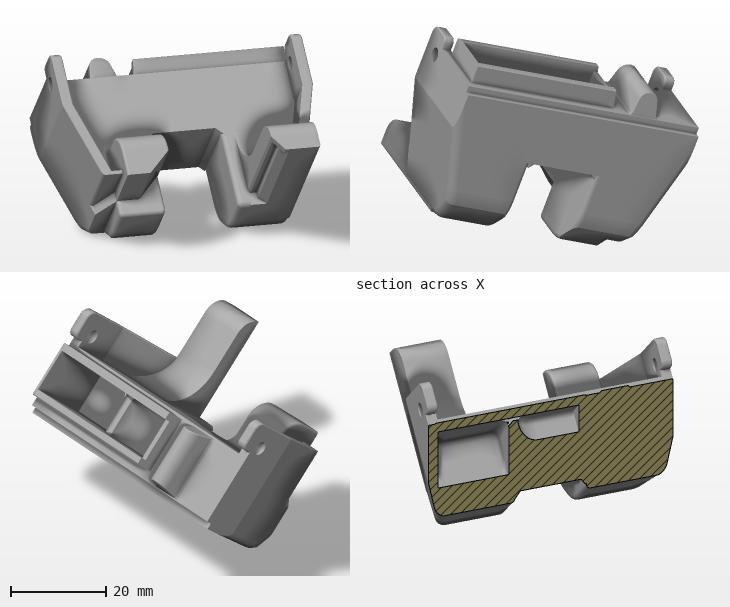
import cadquery as cq
import math

TILT_ANGLE = -45
NEAR = 0.05

WIDTH = 55
HEIGHT = 33.3
FLOOR_X = 16.95
WALL_X = 25.1
WALL_EDGE_BEVEL = 0.2
WALL_THICKNESS = 2.3
TAPER_START_Z = 23.25
TAPER_SLOPE = 0.297
RIGHT_FOOT_Z = 3.7
HEEL_RADIUS = 9.6
HEEL_FLAT = 6.9
BACK_EDGE_RADIUS = 1.8
FOOT_EDGE_RADIUS = 0.8
FOOT_FRONT_RADIUS = 0.7

LEDGE_DEPTH = 1.3
LEDGE_Z = 31.8

TAB_X = 18.25
TAB_TOP_Z = 35.95
TAB_BACK_RADIUS = 1.4
TAB_FRONT_RADIUS = 2.0
PIN_X = 20.2
PIN_Z = 30.95
PIN_RADIUS = 1.55

SLOT_HALF_WIDTH = 7.9
SLOT_TOP_Z = 18.9
SLOT_CORNER = 1.1
SLOT_EDGE_RADIUS = 1.0

LONG_ARM_Y = (10.6, 20.85)
LONG_ARM_TIP_X = 40.55
LONG_ARM_THICKNESS = 7.6
LONG_ARM_ROOT_RADIUS = 10.0
LONG_ARM_TIP_RADIUS = 4.1
LONG_ARM_EDGE_RADIUS = 0.55
BEVEL_LINE_Y = 13.15
LONG_BEVEL_HEIGHT = 3.4
GROOVE_END_X = 39.1
GROOVE_TOP_Z = 2.85
GROOVE_KNEE_Z = 1.5
GROOVE_WALL_Y = 12.4
GROOVE_SOLE_Y = 14.0

SHORT_ARM_Y = (-18.1, -SLOT_HALF_WIDTH)
SHORT_ARM_TIP_X = 28.3
SHORT_ARM_TOP_Z = 14.6
SHORT_ARM_ROOT_RADIUS = 2.9
SHORT_ARM_TIP_RADIUS = 4.95
SHORT_ARM_EDGE_RADIUS = 0.55
SHORT_ARM_BASE_RADIUS = 0.8

CHANNEL_TOP_Z = 5.85
CHANNEL_RAMP_X = 11.65
CHANNEL_ROOF_RADIUS = 0.65
WEB_TOP_Z = 6.65

BOX_X = (3.5, 16.3)
BOX_Y = (-7.1, 25.9)
BOX_TOP_Z = 37.35
BOX_RIM_BEVEL = 0.2
BOX_END_LEAN = 0.8
CAVITY_X = (5.05, 14.65)
CAVITY_Y = (-6.3, 25.3)
CAVITY_Z = 31.3
NOTCH_Z = 36.0
CAVITY_EDGE_RADIUS = 1.1

DEEP_WELL_Z = 21.05
DEEP_WELL_END_Y = 9.45
DIVIDER_CORNER_RADIUS = 1.65
DIVIDER_Y = (7.35, 8.45)
DIVIDER_BEVEL_HEIGHT = 0.75
SHALLOW_WELL_Z = 27.2
SHALLOW_WELL_SWEEP = 4.7

RIB_Y = -14.4
RIB_TOP_Z = 38.8
RIB_CROWN_RADIUS = 2.3
RIB_DRAFT = math.radians(12)
RIB_TOP_X = (2.6, 15.5)
RIB_END_LEAN = 1.0
RIB_FOOT = 0.35
RIB_END_RADIUS = 0.3


def extrude_along_y(sketch, y_start, y_end):
    """Extrude an x-z outline drawn on the XZ plane between two y positions."""
    return sketch.extrude(y_start - y_end).translate((0, y_start, 0))


def block(x_range, y_range, z_range):
    size = [end - start for start, end in (x_range, y_range, z_range)]
    return cq.Workplane("XY").box(*size, centered=False).translate((x_range[0], y_range[0], z_range[0]))


def round_edges_at(shape, point, reach, radius):
    """Round the edges whose midpoints lie within a reach of a point along each axis."""
    low = tuple(place - span for place, span in zip(point, reach))
    high = tuple(place + span for place, span in zip(point, reach))
    return shape.edges(cq.selectors.BoxSelector(low, high)).fillet(radius)


def side_half_width(z):
    """Half of the body width at a height in the tapered zone."""
    return WIDTH / 2 - TAPER_SLOPE * (TAPER_START_Z - z)


def side_outline():
    """Side outline of the body: a rounded heel whose lowest point is trimmed flat."""
    centre_to_flat = (2 * HEEL_RADIUS - HEEL_FLAT) / math.sqrt(2)
    half_flat = math.sqrt(HEEL_RADIUS**2 - centre_to_flat**2)
    flat_near = (HEEL_FLAT - half_flat * math.sqrt(2)) / 2
    flat_far = HEEL_FLAT - flat_near
    return (
        cq.Workplane("XZ")
        .moveTo(HEEL_RADIUS, 0)
        .lineTo(WALL_X, 0)
        .lineTo(WALL_X, HEIGHT)
        .lineTo(LEDGE_DEPTH, HEIGHT)
        .lineTo(LEDGE_DEPTH, LEDGE_Z)
        .lineTo(0, LEDGE_Z)
        .lineTo(0, HEEL_RADIUS)
        .radiusArc((flat_near, flat_far), -HEEL_RADIUS)
        .lineTo(flat_far, flat_near)
        .radiusArc((HEEL_RADIUS, 0), -HEEL_RADIUS)
        .close()
    )


def make_outer_body():
    low_half = side_half_width(0)
    high_half = side_half_width(HEIGHT)
    wedge = (
        cq.Workplane("YZ")
        .polyline([(low_half, 0), (high_half, HEIGHT), (-high_half, HEIGHT), (-low_half, 0)])
        .close()
        .extrude(WALL_X)
    )
    leaning = extrude_along_y(side_outline(), -high_half, high_half).intersect(wedge)
    back_zone = cq.selectors.BoxSelector((-0.55, -WIDTH, -0.55), (WALL_X - 0.55, WIDTH, LEDGE_Z - 0.55))
    back_edges = leaning.faces("<Y or >Y").edges(back_zone)
    leaning = back_edges.fillet(BACK_EDGE_RADIUS)
    square_sides = block((0, WALL_X), (-WIDTH / 2, WIDTH / 2), (0, HEIGHT))
    leaning = leaning.intersect(square_sides)

    foot_zone = block((0, WALL_X), (-WIDTH / 2, -SLOT_HALF_WIDTH), (0, RIGHT_FOOT_Z))
    foot_block = extrude_along_y(side_outline(), SHORT_ARM_Y[0], -SLOT_HALF_WIDTH)
    foot_block = foot_block.faces("<Y").edges(back_zone).fillet(FOOT_EDGE_RADIUS)
    return leaning.cut(foot_zone).union(foot_block.intersect(foot_zone))


def make_wall_gap():
    """Open space between the side walls, in front of the floor."""
    inner_half = WIDTH / 2 - WALL_THICKNESS
    inner_low = side_half_width(0) - WALL_THICKNESS
    return (
        cq.Workplane("YZ", origin=(FLOOR_X, 0, 0))
        .polyline([
            (inner_low, 0),
            (inner_half, TAPER_START_Z),
            (inner_half, HEIGHT),
            (-inner_half, HEIGHT),
            (-inner_half, TAPER_START_Z),
            (-inner_low, 0),
        ])
        .close()
        .extrude(WALL_X)
    )


def make_tab(y_start):
    tab = block((TAB_X, WALL_X), (y_start, y_start + WALL_THICKNESS), (TAPER_START_Z, TAB_TOP_Z))
    tab = tab.edges("|Y and >Z and <X").fillet(TAB_BACK_RADIUS)
    return tab.edges("|Y and >Z and >X").fillet(TAB_FRONT_RADIUS)


def make_slot():
    slot = block((-0.55, WALL_X + 0.55), (-SLOT_HALF_WIDTH, SLOT_HALF_WIDTH), (-0.55, SLOT_TOP_Z))
    return slot.edges("|X and >Z").chamfer(SLOT_CORNER)


def make_slot_rounding():
    """Sliver to cut off the +Y side of the slot so that it meets the back and heel in a rounded edge."""
    zone = block((0, FLOOR_X), (SLOT_HALF_WIDTH, SLOT_HALF_WIDTH + 2 * SLOT_EDGE_RADIUS), (0, SLOT_TOP_Z))
    cheek = zone.edges("|Y and <X and <Z").fillet(HEEL_RADIUS)
    back_and_sole = cq.selectors.BoxSelector((-0.55, 0, -0.55), (FLOOR_X - 0.55, WIDTH, SLOT_TOP_Z - 0.55))
    cheek = cheek.faces("<Y").edges(back_and_sole).fillet(SLOT_EDGE_RADIUS)
    return zone.cut(cheek)


def long_arm_outline():
    top = LONG_ARM_THICKNESS
    return (
        cq.Workplane("XZ")
        .moveTo(HEEL_RADIUS, 0)
        .lineTo(LONG_ARM_TIP_X, 0)
        .lineTo(LONG_ARM_TIP_X, top - LONG_ARM_TIP_RADIUS)
        .radiusArc((LONG_ARM_TIP_X - LONG_ARM_TIP_RADIUS, top), -LONG_ARM_TIP_RADIUS)
        .lineTo(FLOOR_X + LONG_ARM_ROOT_RADIUS, top)
        .radiusArc((FLOOR_X, top + LONG_ARM_ROOT_RADIUS), LONG_ARM_ROOT_RADIUS)
        .lineTo(HEEL_RADIUS, top + LONG_ARM_ROOT_RADIUS)
        .close()
    )


def make_long_arm(outer_body):
    inner_y, outer_y = LONG_ARM_Y
    arm = extrude_along_y(long_arm_outline(), inner_y, outer_y)
    arm = arm.edges("|X and >Y and <Z").fillet(LONG_ARM_EDGE_RADIUS)
    bevel = (
        cq.Workplane("YZ", origin=(FLOOR_X, 0, 0))
        .polyline([(inner_y, 0), (BEVEL_LINE_Y, 0), (inner_y, LONG_BEVEL_HEIGHT)])
        .close()
        .extrude(LONG_ARM_TIP_X)
    )
    groove = (
        cq.Workplane("YZ", origin=(FLOOR_X, 0, 0))
        .polyline([
            (inner_y, 0),
            (GROOVE_SOLE_Y, 0),
            (GROOVE_WALL_Y, GROOVE_KNEE_Z),
            (GROOVE_WALL_Y, GROOVE_TOP_Z),
            (inner_y, GROOVE_TOP_Z),
        ])
        .close()
        .extrude(GROOVE_END_X - FLOOR_X)
    )
    root = extrude_along_y(long_arm_outline(), inner_y, WIDTH / 2).intersect(outer_body)
    return arm.union(root).cut(bevel).cut(groove)


def make_short_arm():
    outer_y, inner_y = SHORT_ARM_Y
    top = SHORT_ARM_TOP_Z
    outline = (
        cq.Workplane("XZ")
        .moveTo(HEEL_RADIUS, RIGHT_FOOT_Z)
        .lineTo(SHORT_ARM_TIP_X, RIGHT_FOOT_Z)
        .lineTo(SHORT_ARM_TIP_X, top - SHORT_ARM_TIP_RADIUS)
        .radiusArc((SHORT_ARM_TIP_X - SHORT_ARM_TIP_RADIUS, top), -SHORT_ARM_TIP_RADIUS)
        .lineTo(FLOOR_X + SHORT_ARM_ROOT_RADIUS, top)
        .radiusArc((FLOOR_X, top + SHORT_ARM_ROOT_RADIUS), SHORT_ARM_ROOT_RADIUS)
        .lineTo(HEEL_RADIUS, top + SHORT_ARM_ROOT_RADIUS)
        .close()
    )
    arm = extrude_along_y(outline, outer_y, inner_y)
    bevel_rise = BEVEL_LINE_Y - SLOT_HALF_WIDTH
    bevel = (
        cq.Workplane("YZ", origin=(FLOOR_X, 0, 0))
        .polyline([
            (inner_y, RIGHT_FOOT_Z),
            (-BEVEL_LINE_Y, RIGHT_FOOT_Z),
            (inner_y, RIGHT_FOOT_Z + bevel_rise),
        ])
        .close()
        .extrude(SHORT_ARM_TIP_X)
    )
    tip_box = cq.selectors.BoxSelector(
        (FLOOR_X + 0.55, -WIDTH, RIGHT_FOOT_Z + 0.55), (SHORT_ARM_TIP_X + 0.55, WIDTH, HEIGHT)
    )
    side_edges = arm.faces("<Y or >Y").edges(tip_box)
    return side_edges.fillet(SHORT_ARM_EDGE_RADIUS).cut(bevel)


def make_web(outer_body):
    web = block((FLOOR_X, WALL_X), (-WIDTH / 2, SHORT_ARM_Y[0]), (CHANNEL_TOP_Z, WEB_TOP_Z))
    return web.intersect(outer_body)


def make_channel():
    outer_y = -side_half_width(RIGHT_FOOT_Z)
    ramp = (
        cq.Workplane("XY", origin=(0, 0, RIGHT_FOOT_Z))
        .polyline([
            (CHANNEL_RAMP_X, -WIDTH / 2),
            (CHANNEL_RAMP_X, outer_y),
            (FLOOR_X, SHORT_ARM_Y[0]),
            (WALL_X, SHORT_ARM_Y[0]),
            (WALL_X, -WIDTH / 2),
        ])
        .close()
        .extrude(CHANNEL_TOP_Z - RIGHT_FOOT_Z)
    )
    below = block((FLOOR_X, WALL_X), (-WIDTH / 2, -SLOT_HALF_WIDTH), (0, RIGHT_FOOT_Z))
    return ramp.union(below)


def make_box():
    end_y, far_y = BOX_Y
    outline = (
        cq.Workplane("YZ", origin=(BOX_X[0], 0, 0))
        .polyline([
            (end_y - BOX_END_LEAN, HEIGHT),
            (far_y, HEIGHT),
            (far_y, BOX_TOP_Z),
            (end_y, BOX_TOP_Z),
        ])
        .close()
        .extrude(BOX_X[1] - BOX_X[0])
    )
    outline = outline.edges("|Y and >Z").chamfer(BOX_RIM_BEVEL)
    notch = block(CAVITY_X, (end_y - BOX_END_LEAN, 0), (NOTCH_Z, BOX_TOP_Z))
    return outline.cut(notch)


def make_wells():
    near_y, far_y = CAVITY_Y
    cavity = block(CAVITY_X, CAVITY_Y, (CAVITY_Z, BOX_TOP_Z))
    deep = block(CAVITY_X, (DEEP_WELL_END_Y, far_y), (DEEP_WELL_Z, CAVITY_Z))
    deep = deep.edges("|Z and <Y and >X").fillet(DIVIDER_CORNER_RADIUS)
    deep = deep.edges("|Y and <Z and >X").fillet(CAVITY_EDGE_RADIUS)
    divider_bevel = (
        cq.Workplane("YZ", origin=(CAVITY_X[0], 0, 0))
        .polyline([
            (DEEP_WELL_END_Y, CAVITY_Z),
            (DIVIDER_Y[1], CAVITY_Z),
            (DEEP_WELL_END_Y, CAVITY_Z - DIVIDER_BEVEL_HEIGHT),
        ])
        .close()
        .extrude(CAVITY_X[1] - CAVITY_X[0])
    )
    depth = CAVITY_Z - SHALLOW_WELL_Z
    sweep_run = math.sqrt(depth * (2 * SHALLOW_WELL_SWEEP - depth))
    shallow = (
        cq.Workplane("YZ", origin=(CAVITY_X[0], 0, 0))
        .moveTo(near_y, CAVITY_Z)
        .lineTo(near_y, SHALLOW_WELL_Z)
        .lineTo(DIVIDER_Y[0] - sweep_run, SHALLOW_WELL_Z)
        .radiusArc((DIVIDER_Y[0], CAVITY_Z), -SHALLOW_WELL_SWEEP)
        .close()
        .extrude(CAVITY_X[1] - CAVITY_X[0])
    )
    shallow = shallow.faces(">X").edges("(not |Z) and (not >Z)").fillet(CAVITY_EDGE_RADIUS)
    return cavity.union(deep).union(divider_bevel).union(shallow)


def make_rib():
    crown_z = RIB_TOP_Z - RIB_CROWN_RADIUS * (1 - math.sin(RIB_DRAFT))
    crown_half = RIB_CROWN_RADIUS * math.cos(RIB_DRAFT)
    foot_z = HEIGHT + RIB_FOOT
    foot_half = crown_half + (crown_z - foot_z) * math.tan(RIB_DRAFT)
    section = (
        cq.Workplane("YZ", origin=(0, RIB_Y, 0))
        .moveTo(-foot_half - RIB_FOOT, HEIGHT)
        .lineTo(foot_half + RIB_FOOT, HEIGHT)
        .lineTo(foot_half, foot_z)
        .lineTo(crown_half, crown_z)
        .threePointArc((0, RIB_TOP_Z), (-crown_half, crown_z))
        .lineTo(-foot_half, foot_z)
        .close()
        .extrude(WALL_X)
    )
    ends = (
        cq.Workplane("XZ")
        .polyline([
            (RIB_TOP_X[0] - RIB_END_LEAN, HEIGHT),
            (RIB_TOP_X[0], RIB_TOP_Z),
            (RIB_TOP_X[1], RIB_TOP_Z),
            (RIB_TOP_X[1] + RIB_END_LEAN, HEIGHT),
        ])
        .close()
    )
    rib = section.intersect(extrude_along_y(ends, -WIDTH / 2, 0))
    above_foot = cq.selectors.BoxSelector((0, -WIDTH, foot_z), (WALL_X, 0, RIB_TOP_Z + 0.55))
    return rib.faces("<X or >X").edges(above_foot).fillet(RIB_END_RADIUS)


outer_body = make_outer_body()
body = outer_body.cut(make_wall_gap())
for tab_y in (-WIDTH / 2, WIDTH / 2 - WALL_THICKNESS):
    body = body.union(make_tab(tab_y))
body = body.faces(">X").edges().chamfer(WALL_EDGE_BEVEL)
body = body.cut(make_slot())
slot_rounding = make_slot_rounding()
body = body.cut(slot_rounding).cut(slot_rounding.mirror("XZ"))
body = round_edges_at(
    body,
    (FLOOR_X, SLOT_HALF_WIDTH, SLOT_TOP_Z / 2),
    (NEAR, NEAR, SLOT_TOP_Z / 4),
    SLOT_EDGE_RADIUS,
)

body = body.cut(make_channel()).union(make_web(outer_body))
body = body.union(make_long_arm(outer_body)).union(make_short_arm())
body = body.union(make_box()).union(make_rib()).cut(make_wells())

short_arm_side = SHORT_ARM_Y[0]
body = round_edges_at(
    body,
    ((CHANNEL_RAMP_X + WALL_X) / 2, -side_half_width(CHANNEL_TOP_Z), CHANNEL_TOP_Z),
    (0.55, NEAR, NEAR),
    CHANNEL_ROOF_RADIUS,
)
body = round_edges_at(
    body,
    (FLOOR_X, short_arm_side, (WEB_TOP_Z + SHORT_ARM_TOP_Z) / 2),
    (NEAR, NEAR, 1.1),
    SHORT_ARM_BASE_RADIUS,
)
body = round_edges_at(
    body,
    (FLOOR_X, short_arm_side, (FOOT_EDGE_RADIUS + RIGHT_FOOT_Z) / 2),
    (NEAR, NEAR, 0.55),
    FOOT_FRONT_RADIUS,
)

pin_holes = (
    cq.Workplane("XZ", origin=(0, WIDTH / 2, 0))
    .center(PIN_X, PIN_Z)
    .circle(PIN_RADIUS)
    .extrude(WIDTH)
)
body = body.cut(pin_holes)

result = body.rotate((0, 0, 0), (0, 1, 0), TILT_ANGLE)